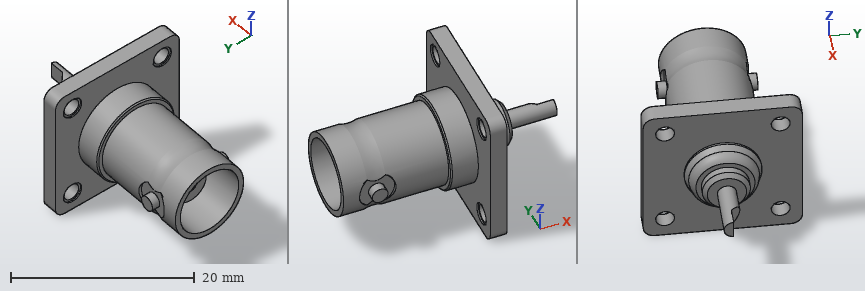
import cadquery as cq

total_length = 27.0

barrel_radius = 4.83
bore_radius = 4.13
bore_floor_radius = 3.6
bore_depth = 8.65
bore_cone_length = bore_radius - bore_floor_radius

groove_start = 2.97
groove_width = 2.2
groove_depth = 0.15
lug_x = groove_start + groove_width / 2

lug_radius = 0.95
lug_span = 10.95
spot_radius = 2.15
spot_height = 4.45

collar_start = 12.47
collar_radius = lug_span / 2
collar_chamfer = 0.15

flange_start = 15.71
flange_thickness = 2.0
flange_end = flange_start + flange_thickness
flange_side = 17.5
flange_corner_radius = 1.3
hole_spacing = 12.7
hole_diameter = 2.05
hole_step_diameter = 2.56
hole_step_depth = 0.2

rear_rim_end = flange_end + 0.25
rear_rim_radius = 4.27
rear_cone_end = 18.68
rear_cone_radius = 3.9
dome_middle = (19.4, 3.7)
dome_end = 19.9
dome_end_radius = 3.25
bushing_end = 21.2
bushing_radius = 2.65
bushing_chamfer = 0.49

insulator_start = 3.25
insulator_tip_radius = 2.21
insulator_base_radius = 2.32
contact_mouth_radius = 0.9
contact_hole_radius = 0.65
contact_hole_depth = 3.25
contact_cone_depth = contact_mouth_radius - contact_hole_radius

pin_radius = 1.05
pin_cut_start = 25.05


def revolve(profile):
    """Turn a profile of (x, radius) points about the X axis."""
    return profile.close().revolve(360, (0, 0, 0), (1, 0, 0))


def make_shell():
    """Outer turned body from the mouth to the end of the rear bushing."""
    groove_end = groove_start + groove_width
    profile = (
        cq.Workplane("XY")
        .moveTo(0, 0)
        .lineTo(0, barrel_radius)
        .lineTo(groove_start, barrel_radius)
        .threePointArc((lug_x, barrel_radius - groove_depth), (groove_end, barrel_radius))
        .lineTo(collar_start, barrel_radius)
        .lineTo(collar_start, collar_radius - collar_chamfer)
        .lineTo(collar_start + collar_chamfer, collar_radius)
        .lineTo(flange_end, collar_radius)
        .lineTo(flange_end, rear_rim_radius)
        .lineTo(rear_rim_end, rear_rim_radius)
        .lineTo(rear_cone_end, rear_cone_radius)
        .threePointArc(dome_middle, (dome_end, dome_end_radius))
        .lineTo(dome_end, bushing_radius)
        .lineTo(bushing_end - bushing_chamfer, bushing_radius)
        .lineTo(bushing_end, bushing_radius - bushing_chamfer)
        .lineTo(bushing_end, 0)
    )
    return revolve(profile)


def make_bore():
    """Cavity around the insulator: straight bore, then a cone to its floor."""
    profile = (
        cq.Workplane("XY")
        .moveTo(0, 0)
        .lineTo(0, bore_radius)
        .lineTo(bore_depth - bore_cone_length, bore_radius)
        .lineTo(bore_depth, bore_floor_radius)
        .lineTo(bore_depth, insulator_base_radius)
        .lineTo(insulator_start, insulator_tip_radius)
        .lineTo(insulator_start, 0)
    )
    return revolve(profile)


def make_contact_hole():
    """Blind hole with a countersunk mouth in the insulator face."""
    profile = (
        cq.Workplane("XY")
        .moveTo(insulator_start, 0)
        .lineTo(insulator_start, contact_mouth_radius)
        .lineTo(insulator_start + contact_cone_depth, contact_hole_radius)
        .lineTo(insulator_start + contact_hole_depth, contact_hole_radius)
        .lineTo(insulator_start + contact_hole_depth, 0)
    )
    return revolve(profile)


def make_flange():
    """Square plate with rounded corners and four stepped holes."""
    plate = (
        cq.Workplane("YZ", origin=(flange_start, 0, 0))
        .rect(flange_side, flange_side)
        .extrude(flange_thickness)
        .edges("|X")
        .fillet(flange_corner_radius)
    )
    return (
        plate.faces("<X")
        .workplane()
        .rect(hole_spacing, hole_spacing, forConstruction=True)
        .vertices()
        .cboreHole(hole_diameter, hole_step_diameter, hole_step_depth)
    )


def make_spot(side):
    """Cutter for the flat spot under a bayonet pin, on side +1 or -1 of Y."""
    depth = barrel_radius - spot_height
    base = cq.Vector(lug_x, side * spot_height, 0)
    return cq.Workplane(cq.Solid.makeCylinder(spot_radius, depth, base, cq.Vector(0, side, 0)))


def make_lug(side):
    """Bayonet pin, rooted in the barrel wall without entering the bore."""
    root = (bore_radius + spot_height) / 2
    base = cq.Vector(lug_x, side * root, 0)
    length = lug_span / 2 - root
    return cq.Workplane(cq.Solid.makeCylinder(lug_radius, length, base, cq.Vector(0, side, 0)))


def make_solder_pin():
    """Round pin whose +Y half ends early in a 45 degree slope."""
    pin = cq.Workplane("YZ", origin=(dome_end, 0, 0)).circle(pin_radius).extrude(total_length - dome_end)
    cutter = (
        cq.Workplane("XY")
        .moveTo(pin_cut_start, 0)
        .lineTo(pin_cut_start - pin_radius, pin_radius)
        .lineTo(total_length, pin_radius)
        .lineTo(total_length, 0)
        .close()
        .extrude(pin_radius, both=True)
    )
    return pin.cut(cutter)


result = make_shell().cut(make_bore()).cut(make_contact_hole()).union(make_flange())
for side in (1, -1):
    result = result.cut(make_spot(side)).union(make_lug(side))
result = result.union(make_solder_pin())